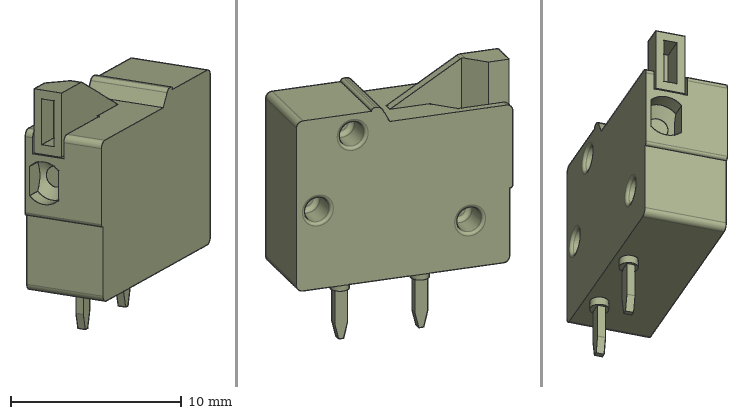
import cadquery as cq
import math


HOUSING_WIDTH = 5.09
HOUSING_LENGTH = 13.6
DECK_Z = 9.95
REAR_TOP_Z = 10.75
CORNER_RADIUS = 0.4
FRONT_STEP = 0.2
FRONT_STEP_Z = 4.67

RIDGE_HEIGHT = 0.2
RIDGE_REAR_Y = 8.9
RIDGE_FOOT_Y = 7.73
RIDGE_SLOPE = 60.0
RIDGE_TOP_Z = REAR_TOP_Z + RIDGE_HEIGHT
RIDGE_FRONT_Y = RIDGE_FOOT_Y + (RIDGE_TOP_Z - DECK_Z) / math.tan(math.radians(RIDGE_SLOPE))

SIDE_HOLE_CENTRES = [(10.08, 9.43), (12.26, 4.95), (2.69, 2.98)]
SIDE_HOLE_RADIUS = 0.78
SIDE_HOLE_RIM_ROUND = 0.2
SIDE_HOLE_FLOOR_ROUND = 0.29
SIDE_HOLE_DEPTH = 2.01

WIRE_X = 1.26
WIRE_Z = 6.85
WIRE_HOLE_RADIUS = 1.31
WIRE_HOLE_WIDTH = 1.91
WIRE_HOLE_STRAIGHT_DEPTH = 1.0
WIRE_CONE_LENGTH = 0.5
WIRE_CONE_END_RADIUS = 0.65

LEVER_LEFT_X = 0.6
LEVER_RIGHT_X = 2.43
BLADE_THICKNESS = 0.62
LEVER_BOTTOM_Z = 8.62
LEVER_TOP_Z = 12.57
LEVER_SIDE_LENGTH = 1.31
RAMP_ANGLE = 30.0
RAMP_CREST_Y = 2.5
RAMP_CREST_RADIUS = 0.5
BLADE_LEFT_X = LEVER_RIGHT_X - BLADE_THICKNESS
RAMP_END_Y = RAMP_CREST_Y + (LEVER_TOP_Z - DECK_Z) / math.tan(math.radians(RAMP_ANGLE))

SLOT_LEFT_X = 1.1
SLOT_WIDTH = 0.83
SLOT_BOTTOM_Z = 9.2
SLOT_HEIGHT = 2.82
SLOT_DEPTH = 1.5

RECESS_LEFT_X = 0.5
RECESS_RIGHT_X = 2.58
RECESS_FLOOR_Z = 8.55
RECESS_SIDE_LENGTH = 3.25
RECESS_LENGTH = 4.49

PIN_X = 0.9
PIN_CENTRES_Y = [5.5, 10.55]
PIN_THICKNESS = 0.5
PIN_WIDTH = 0.81
PIN_TIP_WIDTH = 0.3
PIN_LENGTH = 3.63
PIN_TAPER_LENGTH = 1.0
COLLAR_RADIUS = 0.57
COLLAR_HEIGHT = 0.5


def box(x_range, y_range, z_range):
    """Axis-aligned box between the given limits."""
    corner = (x_range[0], y_range[0], z_range[0])
    size = (x_range[1] - x_range[0], y_range[1] - y_range[0], z_range[1] - z_range[0])
    return cq.Workplane("XY").box(*size, centered=False).translate(corner)


def round_edge_at(body, edge_x, y, z, radius):
    """Round the edge along X that passes through (edge_x, y, z)."""
    return body.edges(cq.selectors.NearestToPointSelector((edge_x, y, z))).fillet(radius)


def housing_block():
    """Side outline with its ridge and front step, extruded over the width, with rounded edges."""
    outline = (
        cq.Workplane("YZ")
        .moveTo(FRONT_STEP, 0)
        .lineTo(HOUSING_LENGTH, 0)
        .lineTo(HOUSING_LENGTH, REAR_TOP_Z)
        .lineTo(RIDGE_REAR_Y, REAR_TOP_Z)
        .radiusArc((RIDGE_REAR_Y - RIDGE_HEIGHT, RIDGE_TOP_Z), -RIDGE_HEIGHT)
        .lineTo(RIDGE_FRONT_Y, RIDGE_TOP_Z)
        .lineTo(RIDGE_FOOT_Y, DECK_Z)
        .lineTo(0, DECK_Z)
        .lineTo(0, FRONT_STEP_Z + FRONT_STEP)
        .radiusArc((FRONT_STEP, FRONT_STEP_Z), -FRONT_STEP)
        .close()
    )
    rounded_corners = [
        (FRONT_STEP, 0),
        (HOUSING_LENGTH, 0),
        (HOUSING_LENGTH, REAR_TOP_Z),
        (RIDGE_FRONT_Y, RIDGE_TOP_Z),
        (0, DECK_Z),
    ]
    block = outline.extrude(HOUSING_WIDTH)
    for y, z in rounded_corners:
        block = round_edge_at(block, HOUSING_WIDTH / 2, y, z, CORNER_RADIUS)
    return block


def side_hole(y, z):
    """Blind hole with a rounded rim and a rounded floor corner, as a solid of revolution about X."""
    rim_radius = SIDE_HOLE_RADIUS + SIDE_HOLE_RIM_ROUND
    floor_radius = SIDE_HOLE_RADIUS - SIDE_HOLE_FLOOR_ROUND
    floor_round_x = SIDE_HOLE_DEPTH - SIDE_HOLE_FLOOR_ROUND
    profile = (
        cq.Workplane("XY")
        .lineTo(0, rim_radius)
        .radiusArc((SIDE_HOLE_RIM_ROUND, SIDE_HOLE_RADIUS), -SIDE_HOLE_RIM_ROUND)
        .lineTo(floor_round_x, SIDE_HOLE_RADIUS)
        .radiusArc((SIDE_HOLE_DEPTH, floor_radius), SIDE_HOLE_FLOOR_ROUND)
        .lineTo(SIDE_HOLE_DEPTH, 0)
        .close()
    )
    return profile.revolve(360, (0, 0, 0), (1, 0, 0)).translate((0, y, z))


def wire_entry():
    """Round hole that narrows conically to a flat floor, cut off by two flat flanks."""
    depth = WIRE_HOLE_STRAIGHT_DEPTH + WIRE_CONE_LENGTH
    half_section = [
        (0, 0),
        (WIRE_HOLE_RADIUS, 0),
        (WIRE_HOLE_RADIUS, WIRE_HOLE_STRAIGHT_DEPTH),
        (WIRE_CONE_END_RADIUS, depth),
        (0, depth),
    ]
    half_width = WIRE_HOLE_WIDTH / 2
    entry = cq.Workplane("XY").polyline(half_section).close().revolve(360, (0, 0, 0), (0, 1, 0))
    flanks = box((-half_width, half_width), (0, depth), (-WIRE_HOLE_RADIUS, WIRE_HOLE_RADIUS))
    return entry.intersect(flanks).translate((WIRE_X, 0, WIRE_Z))


def lever_recess():
    """Recess open to the top and the front, with a 45 degree face at its rear left."""
    chamfer = RECESS_LENGTH - RECESS_SIDE_LENGTH
    outline = [
        (RECESS_LEFT_X, 0),
        (RECESS_RIGHT_X, 0),
        (RECESS_RIGHT_X, RECESS_LENGTH),
        (RECESS_LEFT_X + chamfer, RECESS_LENGTH),
        (RECESS_LEFT_X, RECESS_SIDE_LENGTH),
    ]
    height = DECK_Z - RECESS_FLOOR_Z
    return cq.Workplane("XY").workplane(offset=RECESS_FLOOR_Z).polyline(outline).close().extrude(height)


def make_housing():
    housing = housing_block().cut(lever_recess()).cut(wire_entry())
    for y, z in SIDE_HOLE_CENTRES:
        housing = housing.cut(side_hole(y, z))
    return housing


def make_lever():
    """Slotted front block that narrows at 45 degrees to a blade with a ramp on top."""
    side_outline = [
        (0, LEVER_BOTTOM_Z),
        (RECESS_LENGTH, LEVER_BOTTOM_Z),
        (RECESS_LENGTH, DECK_Z),
        (RAMP_END_Y, DECK_Z),
        (RAMP_CREST_Y, LEVER_TOP_Z),
        (0, LEVER_TOP_Z),
    ]
    plan_outline = [
        (LEVER_LEFT_X, 0),
        (LEVER_RIGHT_X, 0),
        (LEVER_RIGHT_X, RAMP_END_Y),
        (BLADE_LEFT_X, RAMP_END_Y),
        (BLADE_LEFT_X, LEVER_SIDE_LENGTH + BLADE_LEFT_X - LEVER_LEFT_X),
        (LEVER_LEFT_X, LEVER_SIDE_LENGTH),
    ]
    side_prism = cq.Workplane("YZ").polyline(side_outline).close().extrude(LEVER_RIGHT_X)
    side_prism = round_edge_at(
        side_prism, LEVER_RIGHT_X / 2, RAMP_CREST_Y, LEVER_TOP_Z, RAMP_CREST_RADIUS
    )
    plan_prism = cq.Workplane("XY").polyline(plan_outline).close().extrude(LEVER_TOP_Z)
    slot = box(
        (SLOT_LEFT_X, SLOT_LEFT_X + SLOT_WIDTH),
        (0, SLOT_DEPTH),
        (SLOT_BOTTOM_Z, SLOT_BOTTOM_Z + SLOT_HEIGHT),
    )
    return side_prism.intersect(plan_prism).cut(slot)


def make_pin(centre_y):
    """Flat pin that hangs from the underside of the housing and tapers to a blunt tip."""
    half_width = PIN_WIDTH / 2
    half_tip = PIN_TIP_WIDTH / 2
    taper_z = PIN_TAPER_LENGTH - PIN_LENGTH
    outline = [
        (-half_width, 0),
        (half_width, 0),
        (half_width, taper_z),
        (half_tip, -PIN_LENGTH),
        (-half_tip, -PIN_LENGTH),
        (-half_width, taper_z),
    ]
    pin = cq.Workplane("YZ").polyline(outline).close().extrude(PIN_THICKNESS / 2, both=True)
    return pin.translate((PIN_X, centre_y, 0))


def make_collar(centre_y, pin):
    """Round stand-off under the housing, with a hole that matches the pin."""
    disc = cq.Workplane("XY").circle(COLLAR_RADIUS).extrude(-COLLAR_HEIGHT)
    return disc.translate((PIN_X, centre_y, 0)).cut(pin)


housing = make_housing()
lever = make_lever()
pins = [make_pin(y) for y in PIN_CENTRES_Y]
collars = [make_collar(y, pin) for y, pin in zip(PIN_CENTRES_Y, pins)]

result = cq.Compound.makeCompound(
    [housing.val(), lever.val(), *[pin.val() for pin in pins], *[collar.val() for collar in collars]]
)